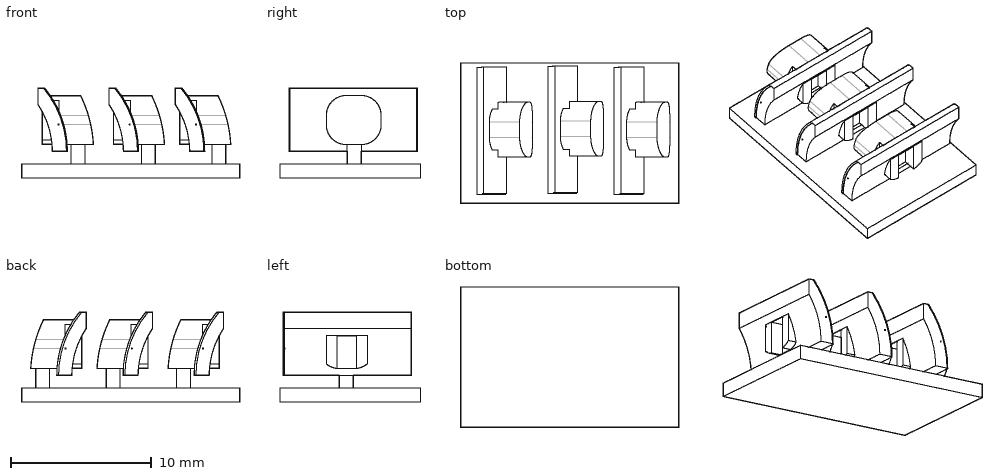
import cadquery as cq
import math

BASE_LENGTH = 15.5
BASE_WIDTH = 10.0
BASE_THICKNESS = 1.0
TOTAL_HEIGHT = 6.4

PIN_DIAMETER = 1.0
PIN_PITCH = 5.0
FIRST_PIN_X = -3.75
PIN_Y = 0.28
PIN_EMBED = 0.31

BLADE_HEIGHT = 4.5
BLADE_LENGTH = 9.0
BLADE_BACK_HEIGHT = 1.16
BLADE_BOTTOM_Z = TOTAL_HEIGHT - BLADE_HEIGHT
CURVE_CENTER_X = -4.98
INNER_RADIUS = 6.0
OUTER_RADIUS = 7.0

FACING_THICKNESS = 0.07
FACING_OVERLAP = 0.06
FACING_SHIFT_Y = 0.055

BORE_DIAMETER = 0.06
BORE_X = 1.47
BORE_Z = 3.81

BUTTON_WIDTH = 3.9
BUTTON_HEIGHT = 3.49
BUTTON_CORNER_RADIUS = 1.41
BUTTON_BOTTOM_Z = 2.39
BUTTON_FACE_RADIUS = 8.95
BUTTON_OFFSET_Y = 0.1
BUTTON_BACK_X = 1.52
TAB_WIDTH = 2.91
TAB_BACK_X = 0.31

GROOVE_WIDTH = 1.36
GROOVE_FLOOR_X = 1.24
GROOVE_TOP_Z = 4.7

BLADE_POSITIONS = [(-6.6, 0.15), (-1.55, 0.22), (3.16, 0.15)]


def curve_point(radius, height):
    """XZ point of a blade curve at a height above the blade's bottom edge."""
    x = CURVE_CENTER_X + math.sqrt(radius**2 - height**2)
    return (x, BLADE_BOTTOM_Z + height)


def extrude_blade(outline):
    """Close an XZ outline and extrude it over the blade length, centred on Y = 0."""
    return outline.close().extrude(BLADE_LENGTH / 2, both=True)


def make_blade():
    back_bottom = BLADE_HEIGHT - BLADE_BACK_HEIGHT
    outline = (
        cq.Workplane("XZ")
        .moveTo(*curve_point(INNER_RADIUS, 0))
        .lineTo(*curve_point(OUTER_RADIUS, 0))
        .threePointArc(
            curve_point(OUTER_RADIUS, BLADE_HEIGHT / 2),
            curve_point(OUTER_RADIUS, BLADE_HEIGHT),
        )
        .lineTo(0, TOTAL_HEIGHT)
        .lineTo(0, curve_point(INNER_RADIUS, back_bottom)[1])
        .threePointArc(
            curve_point(INNER_RADIUS, back_bottom / 2),
            curve_point(INNER_RADIUS, 0),
        )
    )
    bore = (
        cq.Workplane("XZ")
        .center(BORE_X, BORE_Z)
        .circle(BORE_DIAMETER / 2)
        .extrude(BLADE_LENGTH, both=True)
    )
    return extrude_blade(outline).cut(bore)


def make_facing():
    facing_radius = OUTER_RADIUS + FACING_THICKNESS
    inside_radius = OUTER_RADIUS - FACING_OVERLAP
    outline = (
        cq.Workplane("XZ")
        .moveTo(*curve_point(inside_radius, 0))
        .lineTo(*curve_point(facing_radius, 0))
        .threePointArc(
            curve_point(facing_radius, BLADE_HEIGHT / 2),
            curve_point(facing_radius, BLADE_HEIGHT),
        )
        .lineTo(*curve_point(inside_radius, BLADE_HEIGHT))
        .threePointArc(
            curve_point(inside_radius, BLADE_HEIGHT / 2),
            curve_point(inside_radius, 0),
        )
    )
    return extrude_blade(outline).translate((0, FACING_SHIFT_Y, 0))


def make_button():
    front_x = CURVE_CENTER_X + BUTTON_FACE_RADIUS
    block = (
        cq.Workplane("XY")
        .box(front_x - TAB_BACK_X, BUTTON_WIDTH, BUTTON_HEIGHT, centered=(False, True, False))
        .edges("|X")
        .fillet(BUTTON_CORNER_RADIUS)
        .translate((TAB_BACK_X, 0, BUTTON_BOTTOM_Z))
    )
    tab_zone = cq.Workplane("XY").box(
        BUTTON_BACK_X, TAB_WIDTH, TOTAL_HEIGHT, centered=(False, True, False)
    )
    body_zone = (
        cq.Workplane("XY")
        .box(front_x - BUTTON_BACK_X, BUTTON_WIDTH, TOTAL_HEIGHT, centered=(False, True, False))
        .translate((BUTTON_BACK_X, 0, 0))
    )
    face_cylinder = (
        cq.Workplane("XZ")
        .center(CURVE_CENTER_X, BLADE_BOTTOM_Z)
        .circle(BUTTON_FACE_RADIUS)
        .extrude(BUTTON_WIDTH, both=True)
    )
    return block.intersect(tab_zone.union(body_zone)).intersect(face_cylinder)


def make_groove():
    return (
        cq.Workplane("XY")
        .box(
            GROOVE_FLOOR_X - TAB_BACK_X,
            GROOVE_WIDTH,
            GROOVE_TOP_Z - BUTTON_BOTTOM_Z,
            centered=(False, True, False),
        )
        .translate((TAB_BACK_X, 0, BUTTON_BOTTOM_Z))
    )


def make_key():
    button_shift = (0, BUTTON_OFFSET_Y, 0)
    return (
        make_blade()
        .union(make_facing())
        .union(make_button().translate(button_shift))
        .cut(make_groove().translate(button_shift))
    )


def make_pin(index):
    return (
        cq.Workplane("XY")
        .center(FIRST_PIN_X + index * PIN_PITCH, PIN_Y)
        .circle(PIN_DIAMETER / 2)
        .extrude(BUTTON_BOTTOM_Z + PIN_EMBED)
    )


result = cq.Workplane("XY").box(
    BASE_LENGTH, BASE_WIDTH, BASE_THICKNESS, centered=(True, True, False)
)
key = make_key()
for index, (back_x, center_y) in enumerate(BLADE_POSITIONS):
    result = result.union(make_pin(index))
    result = result.union(key.translate((back_x, center_y, 0)))